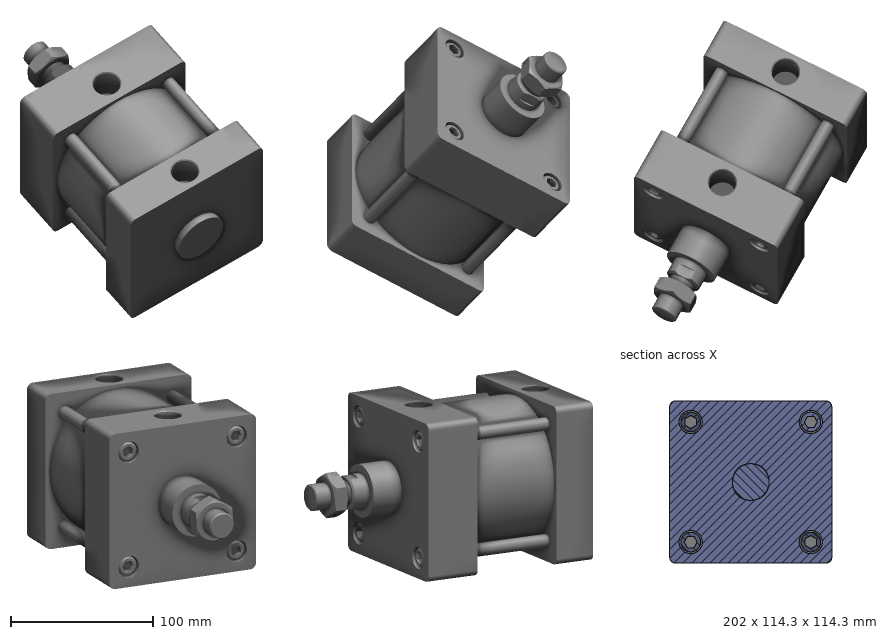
import cadquery as cq
import math


NUT_X = 12.0
SHOULDER_X = 28.0
FLAT_END_X = 35.5
FRONT_BOSS_X = 40.8
FRONT_HEAD_X = 63.5
BARREL_X = 103.2
REAR_HEAD_X = 167.0
REAR_BOSS_X = 196.8
TOTAL_LENGTH = 202.0

HEAD_SIZE = 114.3
HEAD_CORNER_RADIUS = 4.5
BOSS_DIAMETER = 38.2
BARREL_DIAMETER = 107.9

FRONT_PORT_X = 87.9
REAR_PORT_X = 182.5
PORT_DIAMETER = 19.2
PORT_CHAMFER = 0.8
PORT_DEPTH = 24.2

ROD_DIAMETER = 25.5
THREAD_DIAMETER = 19.0
THREAD_CHAMFER = 0.8
SHOULDER_CHAMFER = 1.2
WRENCH_FLAT_WIDTH = 22.2

NUT_WIDTH = 28.5
NUT_THICKNESS = 11.0
NUT_FACE_DIAMETER = 27.7
NUT_CHAMFER_ANGLE = 30.0

TIE_ROD_OFFSET = 42.2
TIE_ROD_DIAMETER = 9.5
TIE_ROD_REAR_DEPTH = 20.2
SCREW_HEAD_DIAMETER = 14.1
SCREW_HEAD_LENGTH = 10.0
SCREW_HEAD_CHAMFER = 1.2
SCREW_HEAD_RECESS = 1.0
COUNTERBORE_DIAMETER = 16.0
SOCKET_WIDTH = 7.7
SOCKET_DEPTH = 5.0

TIE_ROD_SIDES = (-TIE_ROD_OFFSET, TIE_ROD_OFFSET)
TIE_ROD_PLACES = [(y, z) for y in TIE_ROD_SIDES for z in TIE_ROD_SIDES]
SCREW_HEAD_X = FRONT_HEAD_X + SCREW_HEAD_RECESS
SCREW_SEAT_X = SCREW_HEAD_X + SCREW_HEAD_LENGTH
TIE_ROD_END_X = REAR_HEAD_X + TIE_ROD_REAR_DEPTH


def cross_section(x, y=0, z=0):
    """Sketch plane across the cylinder axis: local x is Y and local y is Z."""
    return cq.Workplane("YZ", origin=(x, y, z))


def disc(diameter, start_x, end_x, y=0, z=0):
    """Round bar along X between two stations."""
    return cross_section(start_x, y, z).circle(diameter / 2).extrude(end_x - start_x)


def hexagon(width, start_x, end_x, y=0, z=0, turn=0):
    """Hexagonal bar along X, corners up and down until turned about X."""
    bar = cross_section(start_x).polygon(6, width, circumscribed=True).extrude(end_x - start_x)
    return bar.rotate((0, 0, 0), (1, 0, 0), turn).translate((0, y, z))


def head_block(start_x, end_x):
    """Square head with rounded long edges."""
    block = cross_section(start_x).rect(HEAD_SIZE, HEAD_SIZE).extrude(end_x - start_x)
    return block.edges("|X").fillet(HEAD_CORNER_RADIUS)


def port(x):
    """Blind port with a chamfered mouth, cut down from the top of a head."""
    radius = PORT_DIAMETER / 2
    mouth_radius = radius + PORT_CHAMFER
    profile = [
        (0, 0),
        (mouth_radius, 0),
        (radius, -PORT_CHAMFER),
        (radius, -PORT_DEPTH),
        (0, -PORT_DEPTH),
    ]
    return cq.Workplane("XZ", origin=(x, 0, HEAD_SIZE / 2)).polyline(profile).close().revolve()


def make_front_head():
    head = head_block(FRONT_HEAD_X, BARREL_X)
    head = head.union(disc(BOSS_DIAMETER, FRONT_BOSS_X, FRONT_HEAD_X))
    head = head.cut(disc(ROD_DIAMETER, FRONT_BOSS_X, BARREL_X))
    head = head.cut(port(FRONT_PORT_X))
    for y, z in TIE_ROD_PLACES:
        head = head.cut(disc(TIE_ROD_DIAMETER, FRONT_HEAD_X, BARREL_X, y, z))
        head = head.cut(disc(COUNTERBORE_DIAMETER, FRONT_HEAD_X, SCREW_SEAT_X, y, z))
    return head


def make_rear_head():
    head = head_block(REAR_HEAD_X, REAR_BOSS_X)
    head = head.union(disc(BOSS_DIAMETER, REAR_BOSS_X, TOTAL_LENGTH))
    head = head.cut(port(REAR_PORT_X))
    for y, z in TIE_ROD_PLACES:
        head = head.cut(disc(TIE_ROD_DIAMETER, REAR_HEAD_X, TIE_ROD_END_X, y, z))
    return head


def make_barrel():
    return disc(BARREL_DIAMETER, BARREL_X, REAR_HEAD_X)


def make_piston_rod():
    """Rod that fills the front head bore, with two wrench flats and a chamfered threaded end."""
    rod = disc(ROD_DIAMETER, SHOULDER_X, BARREL_X).faces("<X").chamfer(SHOULDER_CHAMFER)
    flat_length = FLAT_END_X - SHOULDER_X
    flat_depth = (ROD_DIAMETER - WRENCH_FLAT_WIDTH) / 2
    flat_offset = (WRENCH_FLAT_WIDTH + flat_depth) / 2
    for z in (-flat_offset, flat_offset):
        rod = rod.cut(cross_section(SHOULDER_X, 0, z).rect(ROD_DIAMETER, flat_depth).extrude(flat_length))
    thread = disc(THREAD_DIAMETER, 0, SHOULDER_X).faces("<X").chamfer(THREAD_CHAMFER)
    return rod.union(thread)


def make_nut():
    """Hexagonal nut whose corners are trimmed by a cone at both ends."""
    end_x = NUT_X + NUT_THICKNESS
    face_radius = NUT_FACE_DIAMETER / 2
    corner_radius = NUT_WIDTH / math.sqrt(3)
    slope_length = (corner_radius - face_radius) * math.tan(math.radians(NUT_CHAMFER_ANGLE))
    envelope_profile = [
        (NUT_X, 0),
        (NUT_X, face_radius),
        (NUT_X + slope_length, corner_radius),
        (end_x - slope_length, corner_radius),
        (end_x, face_radius),
        (end_x, 0),
    ]
    envelope = cq.Workplane("XY").polyline(envelope_profile).close().revolve(360, (0, 0, 0), (1, 0, 0))
    blank = hexagon(NUT_WIDTH, NUT_X, end_x).intersect(envelope)
    return blank.cut(disc(THREAD_DIAMETER, NUT_X, end_x))


def make_tie_rod(y, z):
    """Tie rod with a chamfered socket head; neighbouring sockets are a quarter turn apart."""
    screw_head = disc(SCREW_HEAD_DIAMETER, SCREW_HEAD_X, SCREW_SEAT_X, y, z)
    screw_head = screw_head.faces("<X").chamfer(SCREW_HEAD_CHAMFER)
    shank = disc(TIE_ROD_DIAMETER, SCREW_SEAT_X, TIE_ROD_END_X, y, z)
    socket_turn = 0 if y * z > 0 else 90
    socket = hexagon(SOCKET_WIDTH, SCREW_HEAD_X, SCREW_HEAD_X + SOCKET_DEPTH, y, z, socket_turn)
    return screw_head.union(shank).cut(socket)


front_head = make_front_head()
rear_head = make_rear_head()
barrel = make_barrel()
piston_rod = make_piston_rod()
nut = make_nut()
tie_rods = [make_tie_rod(y, z) for y, z in TIE_ROD_PLACES]

result = cq.Compound.makeCompound(
    [
        front_head.val(),
        rear_head.val(),
        barrel.val(),
        piston_rod.val(),
        nut.val(),
        *[tie_rod.val() for tie_rod in tie_rods],
    ]
)